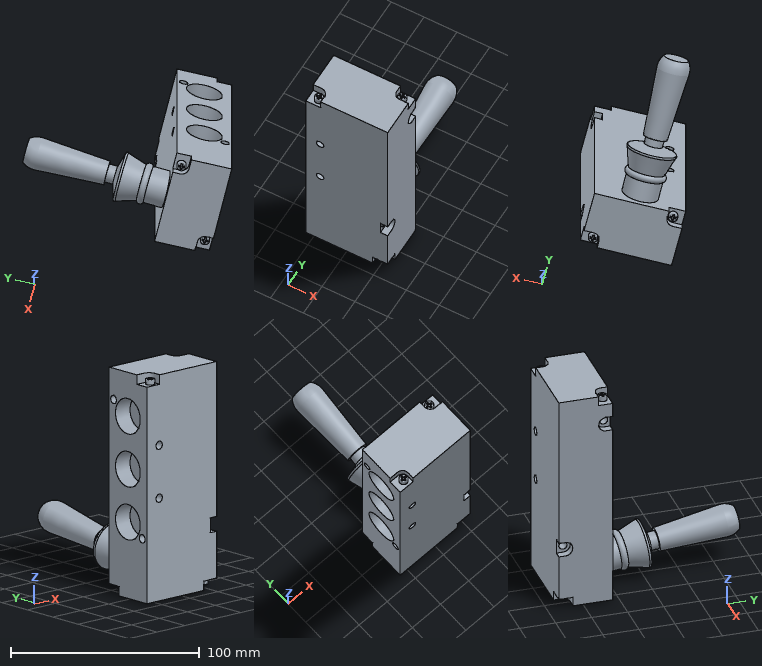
import cadquery as cq

WIDTH = 50.0
DEPTH = 30.0
HEIGHT = 124.0
BASE_HEIGHT = 28.0
CAP_HEIGHT = 10.0
BODY_TOP = HEIGHT - CAP_HEIGHT
BODY_MID_Z = 70.9

PORT_PITCH = 29.0
PORT_MOUTH_DIAMETER = 19.5
PORT_FLOOR_DIAMETER = 18.7
PORT_DEPTH = 10.0

HOLE_DIAMETER = 4.5
SIDE_HOLE_EDGE = 3.7
SIDE_HOLE_OFFSET_Z = 36.0
NUT_SLOT_WIDTH = 8.0
NUT_SLOT_DEPTH = 4.5
FRONT_HOLE_X = 8.8
FRONT_HOLE_PITCH = PORT_PITCH

RECESS_X = 9.2
RECESS_Y = 7.9
RECESS_DEPTH = 5.2
RECESS_RADIUS = 4.0
SCREW_X = 6.0
SCREW_Y = 4.0
SCREW_DIAMETER = 5.0
SCREW_HEIGHT = 2.9
SCREW_EDGE_RADIUS = 0.4
CROSS_LENGTH = 3.2
CROSS_WIDTH = 0.9
CROSS_DEPTH = 1.2

LEVER_Z = 13.8
LEVER_TILT = 8.0
BOOT_RADIUS = 20.0 / 2
BOOT_ROOT = -3.7
RING_START = 9.5
RING_END = 13.4
RING_RADIUS = 11.3
FLANGE_RADIUS = 13.6
FLANGE_START = 24.0
FLANGE_END = 25.3
NECK_RADIUS = 10.0 / 2
NECK_START = 27.8
GRIP_START = 32.2
GRIP_START_RADIUS = 6.6
GRIP_SHOULDER = 69.9
GRIP_SHOULDER_RADIUS = 8.9
GRIP_END = 76.9
GRIP_END_RADIUS = 6.7


def layer(bottom, top):
    """Full-section slab of the valve block between two heights."""
    return cq.Workplane("XY", origin=(0, 0, bottom)).rect(WIDTH, DEPTH, centered=False).extrude(top - bottom)


def turned_about_z(shape):
    """Copy turned half a turn about the block's vertical centre line."""
    middle = (WIDTH / 2, DEPTH / 2)
    return shape.rotate((*middle, 0), (*middle, 1), 180)


def flipped_over(shape):
    """Copy turned half a turn about the block's central Y axis."""
    return shape.rotate((WIDTH / 2, 0, HEIGHT / 2), (WIDTH / 2, 1, HEIGHT / 2), 180)


def four_corners(shape):
    """The two top corners and the two bottom corners that carry a screw."""
    top_pair = [shape, turned_about_z(shape)]
    return top_pair + [flipped_over(item) for item in top_pair]


def port(z):
    """Blind, slightly tapered port opening on the X = 0 face."""
    return cq.Workplane(
        cq.Solid.makeCone(
            PORT_MOUTH_DIAMETER / 2,
            PORT_FLOOR_DIAMETER / 2,
            PORT_DEPTH,
            cq.Vector(0, DEPTH / 2, z),
            cq.Vector(1, 0, 0),
        )
    )


def side_hole():
    """Lower through hole along X, with a round-ended nut slot at its far end."""
    z = BODY_MID_Z - SIDE_HOLE_OFFSET_Z
    hole = cq.Workplane("YZ", origin=(0, SIDE_HOLE_EDGE, z)).circle(HOLE_DIAMETER / 2).extrude(WIDTH)
    half = NUT_SLOT_WIDTH / 2
    slot = (
        cq.Workplane("YZ", origin=(WIDTH - NUT_SLOT_DEPTH, 0, z))
        .moveTo(0, -half)
        .lineTo(SIDE_HOLE_EDGE, -half)
        .threePointArc((SIDE_HOLE_EDGE + half, 0), (SIDE_HOLE_EDGE, half))
        .lineTo(0, half)
        .close()
        .extrude(NUT_SLOT_DEPTH)
    )
    return hole.union(slot)


def front_hole(z):
    """Through hole along Y."""
    return cq.Workplane("XZ", origin=(FRONT_HOLE_X, 0, z)).circle(HOLE_DIAMETER / 2).extrude(-DEPTH)


def corner_recess():
    """Recess in the top corner at X = 0, Y = 0."""
    return (
        cq.Workplane("XY", origin=(0, 0, HEIGHT - RECESS_DEPTH))
        .rect(RECESS_X, RECESS_Y, centered=False)
        .extrude(RECESS_DEPTH)
        .edges("|Z and >X and >Y")
        .fillet(RECESS_RADIUS)
    )


def screw_head():
    """Cross-slotted screw head standing on the recess floor."""
    axis_base = (SCREW_X, SCREW_Y, HEIGHT - RECESS_DEPTH)
    head = cq.Workplane("XY", origin=axis_base).circle(SCREW_DIAMETER / 2).extrude(SCREW_HEIGHT)
    head = head.faces(">Z").edges().fillet(SCREW_EDGE_RADIUS)
    slot_floor = cq.Workplane("XY", origin=axis_base).workplane(offset=SCREW_HEIGHT - CROSS_DEPTH)
    for length_x, length_y in ((CROSS_LENGTH, CROSS_WIDTH), (CROSS_WIDTH, CROSS_LENGTH)):
        head = head.cut(slot_floor.rect(length_x, length_y).extrude(CROSS_DEPTH))
    return head


def lever():
    """Boot, flange, neck and grip turned as one piece and tilted."""
    ring_middle = (RING_START + RING_END) / 2
    flange_middle = (FLANGE_START + FLANGE_END) / 2
    rim_bulge = (FLANGE_END - FLANGE_START) / 4
    turned = (
        cq.Workplane("XY")
        .moveTo(0, BOOT_ROOT)
        .lineTo(BOOT_RADIUS, BOOT_ROOT)
        .lineTo(BOOT_RADIUS, RING_START)
        .threePointArc((RING_RADIUS, ring_middle), (BOOT_RADIUS, RING_END))
        .lineTo(FLANGE_RADIUS - rim_bulge, FLANGE_START)
        .threePointArc((FLANGE_RADIUS, flange_middle), (FLANGE_RADIUS - rim_bulge, FLANGE_END))
        .lineTo(NECK_RADIUS, NECK_START)
        .lineTo(NECK_RADIUS, GRIP_START)
        .lineTo(GRIP_START_RADIUS, GRIP_START)
        .lineTo(GRIP_SHOULDER_RADIUS, GRIP_SHOULDER)
        .tangentArcPoint((GRIP_END_RADIUS, GRIP_END), relative=False)
        .lineTo(0, GRIP_END)
        .close()
        .revolve(360, (0, 0, 0), (0, 1, 0))
    )
    return turned.rotate((0, 0, 0), (1, 0, 0), LEVER_TILT).translate((WIDTH / 2, DEPTH, LEVER_Z))


block = layer(0, BASE_HEIGHT)
block = block.union(layer(BASE_HEIGHT, BODY_TOP), clean=False)
block = block.union(layer(BODY_TOP, HEIGHT), clean=False)

for step in (-1, 0, 1):
    block = block.cut(port(BODY_MID_Z + step * PORT_PITCH), clean=False)

for side in (-1, 1):
    block = block.cut(front_hole(BODY_MID_Z + side * FRONT_HOLE_PITCH / 2), clean=False)

lower_hole = side_hole()
upper_hole = lower_hole.rotate((0, DEPTH / 2, BODY_MID_Z), (1, DEPTH / 2, BODY_MID_Z), 180)
for hole in (lower_hole, upper_hole):
    block = block.cut(hole, clean=False)

block = block.union(lever(), clean=False)

for recess in four_corners(corner_recess()):
    block = block.cut(recess, clean=False)
for screw in four_corners(screw_head()):
    block = block.union(screw, clean=False)

result = block